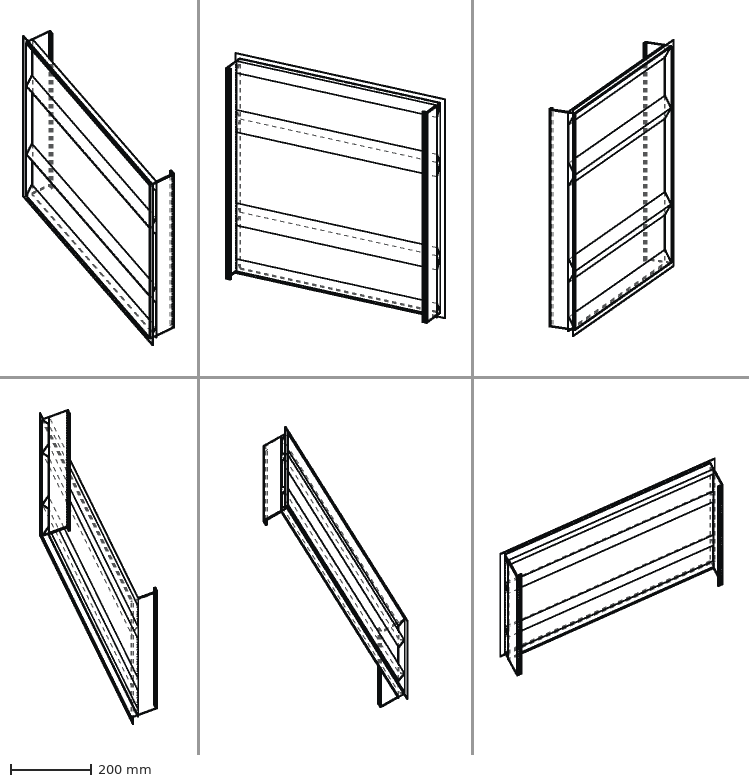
import cadquery as cq

size = 595.0
depth = 72.0
sheet = 2.0
frame_border = 13.5
body_inset = 11.5
panel_front = 18.5
ridge_half_width = 30.5
end_ridge_width = 31.0
ridge_centers = (122.0, -131.5)
panel_tail = 5.0
skin_step = 1.0
skin_inset = 2.5
hook_width = 13.5
hook_depth = 4.0
groove_start = 6.5
groove_width = 2.5
groove_depth = 2.5

opening = size - 2 * frame_border
body_half = size / 2 - body_inset
inner_half = opening / 2
panel_back = panel_front + sheet
wall_half = body_half - skin_step
panel_half = body_half - skin_step / 2


def box(x0, x1, y0, y1, z0, z1):
    """Axis-aligned block between pairs of coordinates."""
    return cq.Workplane("XY").box(x1 - x0, y1 - y0, z1 - z0, centered=False).translate((x0, y0, z0))


def prism(points, half_length):
    """Extrude a (Y, Z) outline symmetrically along X."""
    return cq.Workplane("YZ").polyline(points).close().extrude(half_length, both=True)


def front_frame():
    """Flat border and the short sleeve that joins it to the panel."""
    border = box(-size / 2, size / 2, 0, sheet, -size / 2, size / 2)
    sleeve = box(-wall_half, wall_half, 0, panel_front, -body_half, body_half)
    window = box(-inner_half, inner_half, 0, panel_front, -inner_half, inner_half)
    return border.union(sleeve).cut(window)


def panel():
    """Flat panel with triangular ridges and a half ridge at each end."""
    body = box(-panel_half, panel_half, panel_front, panel_back, -body_half - panel_tail, body_half)
    for center in ridge_centers:
        outline = [
            (panel_back, center - ridge_half_width),
            (panel_front, center - ridge_half_width),
            (sheet, center),
            (panel_front, center + ridge_half_width),
            (panel_back, center + ridge_half_width),
        ]
        body = body.union(prism(outline, panel_half))
    for side in (-1, 1):
        outline = [
            (panel_back, side * inner_half),
            (sheet, side * inner_half),
            (panel_front, side * (inner_half - end_ridge_width)),
            (panel_back, side * (inner_half - end_ridge_width)),
        ]
        body = body.union(prism(outline, panel_half))
    return body


def side_wall():
    """Left wall with a raised outer skin and a grooved rear flange."""
    left = -body_half
    wall = box(-wall_half, -wall_half + sheet, panel_front, depth, -body_half, body_half)
    skin_half = body_half - skin_inset
    skin = box(left, -wall_half, panel_back, depth - skin_inset, -skin_half, skin_half)
    flange = box(-wall_half, left + hook_width, depth - hook_depth, depth, -body_half, body_half)
    groove_left = left + groove_start
    groove = box(
        groove_left, groove_left + groove_width, depth - groove_depth, depth, -body_half, body_half
    )
    return wall.union(skin).union(flange.cut(groove))


left_wall = side_wall()
right_wall = left_wall.mirror("YZ")
result = front_frame().union(panel()).union(left_wall).union(right_wall)